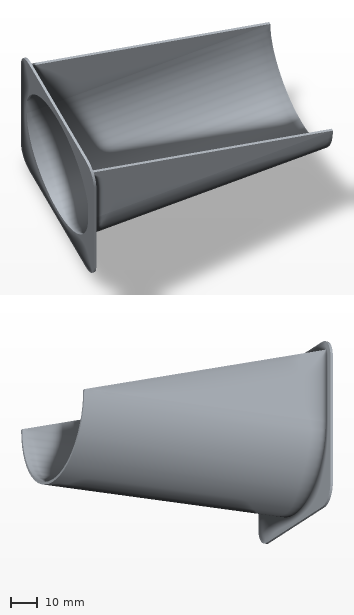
import cadquery as cq

total_length = 101.0
flange_size = 65.0
flange_thickness = 1.0
corner_radius = 7.5
outer_radius = 28.5
wall = 1.0

inner_radius = outer_radius - wall
trough_length = total_length - flange_thickness


def u_profile(radius):
    """U-shaped section in XZ: half round below the axis, straight sides above it."""
    return (
        cq.Workplane("XZ")
        .moveTo(-radius, outer_radius)
        .lineTo(-radius, 0)
        .threePointArc((0, -radius), (radius, 0))
        .lineTo(radius, outer_radius)
        .close()
    )


def make_flange():
    """Square plate with rounded corners, its front face on the plane Y = 0."""
    return (
        cq.Workplane("XZ")
        .rect(flange_size, flange_size)
        .extrude(-flange_thickness)
        .edges("|Y")
        .fillet(corner_radius)
    )


def make_trough():
    """Solid U-shaped bar whose sides slope from full height at the flange to the axis."""
    bar = u_profile(outer_radius).extrude(-total_length)
    side_outline = (
        cq.Workplane("YZ")
        .moveTo(0, -outer_radius)
        .lineTo(0, outer_radius)
        .lineTo(flange_thickness, outer_radius)
        .lineTo(total_length, 0)
        .lineTo(total_length, -outer_radius)
        .close()
        .extrude(outer_radius, both=True)
    )
    return bar.intersect(side_outline)


def make_opening():
    """Through passage: U-shaped channel, rounded at the top where it crosses the flange."""
    channel = u_profile(inner_radius).extrude(-total_length)
    round_limit = cq.Workplane("XZ").circle(outer_radius).extrude(-flange_thickness)
    flange_hole = channel.intersect(round_limit)
    trough_channel = u_profile(inner_radius).extrude(-trough_length)
    return trough_channel.translate((0, flange_thickness, 0)).union(flange_hole)


result = make_flange().union(make_trough()).cut(make_opening())